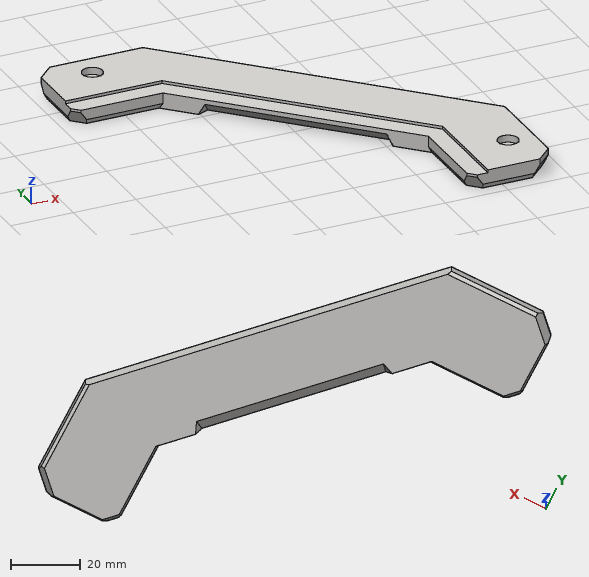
import cadquery as cq
import math

size = 113.5
thickness = 6.0
pad_width = 27.4
outer_edge = 34.8
inner_edge = 28.5
outer_corner = 5.1
inner_corner = 2.3

lip_width = 5.7
lip_drop = 0.9

bevel_slope = 0.5
edge_bevel_height = 1.7
outer_corner_bevel_height = 4.1
inner_corner_bevel_height = 4.3
edge_bevel_inset = bevel_slope * edge_bevel_height

hollow_height = 3.6
hollow_depth = hollow_height
hollow_start_x = 37.6
corner_half_angle = 22.5

hole_diameter = 6.4
hole_depth = 2.3
hole_from_end = 14.9
hole_from_outer_edge = 8.3

inner_y = size - pad_width
bar_inner_sum = inner_edge + inner_y
margin = 11.4


def prism(points, height):
    return cq.Workplane("XY").polyline(points).close().extrude(height)


def swap_xy(points):
    return [(y, x) for x, y in points]


def bottom_wedge(start, end, height, inset):
    """Wedge under the edge start-end; the body lies to the left of that direction."""
    dx = end[0] - start[0]
    dy = end[1] - start[1]
    length = math.hypot(dx, dy)
    along = cq.Vector(dx / length, dy / length, 0)
    origin = cq.Vector(start[0], start[1], 0) - along * margin
    inward = cq.Vector(-along.y, along.x, 0)
    section = cq.Plane(origin=origin, xDir=inward, normal=along)
    profile = [(0, height), (inset, 0), (-margin, 0), (-margin, height)]
    return cq.Workplane(section).polyline(profile).close().extrude(length + 2 * margin)


def bottom_bevel(start, end, height):
    return bottom_wedge(start, end, height, bevel_slope * height)


def end_pad():
    """Pad at the upper left, with cut corners and bevelled end and lip faces."""
    lip_start = (inner_corner, inner_y)
    lip_end = (inner_edge, inner_y)
    end_top = (0, size - outer_corner)
    end_bottom = (0, inner_y + inner_corner)
    corner_top = (outer_corner, size)
    pad = prism([lip_start, lip_end, (outer_edge, size), corner_top, end_top, end_bottom], thickness)
    for start, end in [(lip_start, lip_end), (end_top, end_bottom), ((outer_edge, size), corner_top)]:
        pad = pad.cut(bottom_bevel(start, end, edge_bevel_height))
    pad = pad.cut(bottom_bevel(corner_top, end_top, outer_corner_bevel_height))
    pad = pad.cut(bottom_bevel(end_bottom, lip_start, inner_corner_bevel_height))
    return pad


def bar():
    """Diagonal bar; its inner face runs on to meet the bevels of the two pads."""
    inner_tip = (inner_edge - edge_bevel_inset, inner_y + edge_bevel_inset)
    half = [inner_tip, (inner_edge, inner_y)]
    outer = [(size, outer_edge), (outer_edge, size)]
    body = prism(half + swap_xy(half[::-1]) + outer, thickness)
    for start, end in [((size, 0), outer[0]), (outer[1], (0, size))]:
        body = body.cut(bottom_bevel(start, end, edge_bevel_height))
    return body


def lip_step():
    """Region above the lip, bounded by a line parallel to the inner outline."""
    step_y = inner_y + lip_width
    step_x = inner_edge + lip_width * math.tan(math.radians(corner_half_angle))
    half = [(-margin, step_y), (step_x, step_y)]
    tool = prism([(-margin, -margin)] + half + swap_xy(half[::-1]), lip_drop)
    return tool.translate((0, 0, thickness - lip_drop))


def bar_hollow():
    """Sloping undercut of the bar; its end walls lean outward and converge toward the back."""
    start = (inner_edge, inner_y)
    slope = bottom_wedge(start, start[::-1], hollow_height, hollow_depth)

    middle = bar_inner_sum / 2
    half_roof = (middle - hollow_start_x) * math.sqrt(2)
    angle = math.radians(corner_half_angle)
    half_floor = half_roof + bevel_slope * hollow_height / math.cos(angle)
    front = -margin
    back = margin
    front_half = half_floor - front * math.tan(angle)
    back_half = half_floor - back * math.tan(angle)
    outline = [(-front_half, front), (front_half, front), (back_half, back), (-back_half, back)]
    floor = cq.Plane(origin=(middle, middle, 0), xDir=(1, -1, 0), normal=(0, 0, 1))
    lean = math.degrees(math.atan(bevel_slope))
    span = cq.Workplane(floor).polyline(outline).close().extrude(hollow_height, taper=lean)
    return slope.intersect(span)


pad = end_pad()
result = bar().union(pad).union(pad.mirror(cq.Vector(1, -1, 0)))
result = result.cut(lip_step()).cut(bar_hollow())

hole = (hole_from_end, size - hole_from_outer_edge)
holes = (
    cq.Workplane("XY", origin=(0, 0, thickness - hole_depth))
    .pushPoints([hole, hole[::-1]])
    .circle(hole_diameter / 2)
    .extrude(hole_depth)
)
result = result.cut(holes)